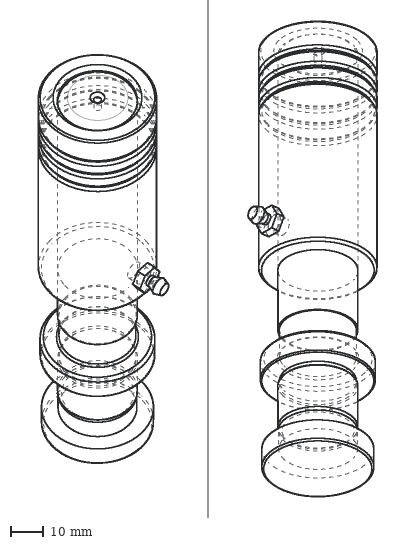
import cadquery as cq
import math

TOTAL_HEIGHT = 152.0
BUSH_DIAMETER = 37.0
BUSH_RADIUS = BUSH_DIAMETER / 2
BUSH_BOTTOM = 72.2
BUSH_TOP_CHAMFER = 0.6
BUSH_BOTTOM_CHAMFER = 0.9
BORE_MOUTH_CHAMFER = 1.4
GROOVE_COUNT = 3
GROOVE_PITCH = 6.0
GROOVE_WIDTH = 2.5
GROOVE_DEPTH = 0.9
GROOVE_FLOOR = 0.6
FIRST_GROOVE_TOP = 143.0

PILLAR_RADIUS = 12.5
RELIEF_RADIUS = 12.0
PILLAR_BOTTOM = 14.0
PILLAR_TOP_FILLET = 3.0
PILLAR_BOTTOM_CHAMFER = 1.2
RELIEF_TOP = 50.5
RELIEF_FLARE = 0.8
COLLAR_RADIUS = 18.0
COLLAR_BOTTOM = 31.9
COLLAR_TOP = 40.1
COLLAR_TOP_CHAMFER = 1.0
COLLAR_BOTTOM_CHAMFER = 0.5
UNDERCUT_BOTTOM = 30.7
UNDERCUT_CHAMFER = 0.5
CENTRE_HOLE_RADIUS = 1.2
CENTRE_HOLE_DEPTH = 4.5
COUNTERSINK_RADIUS = 2.3
COUNTERSINK_HALF_ANGLE = math.radians(45)
DRILL_HALF_ANGLE = math.radians(60)

CAP_RADIUS = 17.5
CAP_THICKNESS = 7.3
CAP_CHAMFER = 0.6
CAP_NECK_RADIUS = 12.3

NIPPLE_ANGLE = -15.0
NIPPLE_Z = 82.1
NIPPLE_TIP = 27.4
HEX_ACROSS_FLATS = 8.2
HEX_END = 21.5
STUB_RADIUS = 2.9
STUB_LENGTH = 3.8
NECK_RADIUS = 1.8
NECK_END = 22.5
HEAD_WIDEST = 25.1
HEAD_RADIUS = 2.9
TIP_RADIUS = 2.1


def revolve(points):
    """Solid of revolution about Z from (radius, height) points."""
    return cq.Workplane("XZ").polyline(points).close().revolve(360, (0, 0, 0), (0, 1, 0))


def place_on_nipple_axis(body):
    """Turn a body built along +Z so that it points radially out of the bush."""
    return (
        body.rotate((0, 0, 0), (0, 1, 0), 90)
        .rotate((0, 0, 0), (0, 0, 1), NIPPLE_ANGLE)
        .translate((0, 0, NIPPLE_Z))
    )


def nipple_stub():
    """Round stub that sits in the wall of the bush."""
    stub_start = BUSH_RADIUS - STUB_LENGTH
    stub = cq.Workplane("XY").workplane(offset=stub_start).circle(STUB_RADIUS).extrude(STUB_LENGTH)
    return place_on_nipple_axis(stub)


def make_groove(upper_z):
    """Ring with sloping sides, cut into the outside of the bush."""
    root_radius = BUSH_RADIUS - GROOVE_DEPTH
    side_height = (GROOVE_WIDTH - GROOVE_FLOOR) / 2
    lower_z = upper_z - GROOVE_WIDTH
    return revolve([
        (BUSH_RADIUS, upper_z),
        (root_radius, upper_z - side_height),
        (root_radius, lower_z + side_height),
        (BUSH_RADIUS, lower_z),
    ])


def make_bush():
    height = TOTAL_HEIGHT - BUSH_BOTTOM
    bush = cq.Workplane("XY").workplane(offset=BUSH_BOTTOM).circle(BUSH_RADIUS).extrude(height)
    bush = bush.faces(">Z").edges().chamfer(BUSH_TOP_CHAMFER)
    bush = bush.faces("<Z").edges().chamfer(BUSH_BOTTOM_CHAMFER)
    bush = bush.faces(">Z").workplane().circle(PILLAR_RADIUS).cutThruAll()
    bush = bush.faces(">Z").edges(cq.selectors.RadiusNthSelector(0)).chamfer(BORE_MOUTH_CHAMFER)
    for index in range(GROOVE_COUNT):
        bush = bush.cut(make_groove(FIRST_GROOVE_TOP - index * GROOVE_PITCH))
    return bush.cut(nipple_stub())


def make_centre_hole():
    """Countersunk hole with a drilled point, in the top of the pillar."""
    countersink_depth = (COUNTERSINK_RADIUS - CENTRE_HOLE_RADIUS) / math.tan(COUNTERSINK_HALF_ANGLE)
    countersink_bottom = TOTAL_HEIGHT - countersink_depth
    hole_bottom = TOTAL_HEIGHT - CENTRE_HOLE_DEPTH
    point_bottom = hole_bottom - CENTRE_HOLE_RADIUS / math.tan(DRILL_HALF_ANGLE)
    return revolve([
        (0, TOTAL_HEIGHT),
        (COUNTERSINK_RADIUS, TOTAL_HEIGHT),
        (CENTRE_HOLE_RADIUS, countersink_bottom),
        (CENTRE_HOLE_RADIUS, hole_bottom),
        (0, point_bottom),
    ])


def make_pillar():
    pillar = revolve([
        (0, PILLAR_BOTTOM),
        (PILLAR_RADIUS - PILLAR_BOTTOM_CHAMFER, PILLAR_BOTTOM),
        (PILLAR_RADIUS, PILLAR_BOTTOM + PILLAR_BOTTOM_CHAMFER),
        (PILLAR_RADIUS, UNDERCUT_BOTTOM - UNDERCUT_CHAMFER),
        (RELIEF_RADIUS, UNDERCUT_BOTTOM),
        (RELIEF_RADIUS, COLLAR_BOTTOM),
        (COLLAR_RADIUS - COLLAR_BOTTOM_CHAMFER, COLLAR_BOTTOM),
        (COLLAR_RADIUS, COLLAR_BOTTOM + COLLAR_BOTTOM_CHAMFER),
        (COLLAR_RADIUS, COLLAR_TOP - COLLAR_TOP_CHAMFER),
        (COLLAR_RADIUS - COLLAR_TOP_CHAMFER, COLLAR_TOP),
        (RELIEF_RADIUS + RELIEF_FLARE, COLLAR_TOP),
        (RELIEF_RADIUS, COLLAR_TOP + RELIEF_FLARE),
        (RELIEF_RADIUS, RELIEF_TOP),
        (PILLAR_RADIUS, RELIEF_TOP),
        (PILLAR_RADIUS, TOTAL_HEIGHT),
        (0, TOTAL_HEIGHT),
    ])
    pillar = pillar.faces(">Z").edges().fillet(PILLAR_TOP_FILLET)
    return pillar.cut(make_centre_hole())


def make_cap():
    disc = cq.Workplane("XY").circle(CAP_RADIUS).extrude(CAP_THICKNESS)
    disc = disc.faces("<Z").edges().chamfer(CAP_CHAMFER)
    neck = cq.Workplane("XY").circle(CAP_NECK_RADIUS).extrude(PILLAR_BOTTOM)
    return disc.union(neck)


def make_nipple():
    hexagon = (
        cq.Workplane("XY").workplane(offset=BUSH_RADIUS)
        .polygon(6, HEX_ACROSS_FLATS, circumscribed=True).extrude(HEX_END - BUSH_RADIUS)
    )
    head = revolve([
        (0, HEX_END),
        (NECK_RADIUS, HEX_END),
        (NECK_RADIUS, NECK_END),
        (HEAD_RADIUS, HEAD_WIDEST),
        (TIP_RADIUS, NIPPLE_TIP),
        (0, NIPPLE_TIP),
    ])
    return place_on_nipple_axis(hexagon.union(head)).union(nipple_stub())


bush = make_bush()
pillar = make_pillar()
cap = make_cap()
nipple = make_nipple()
result = cq.Compound.makeCompound([bush.val(), pillar.val(), cap.val(), nipple.val()])